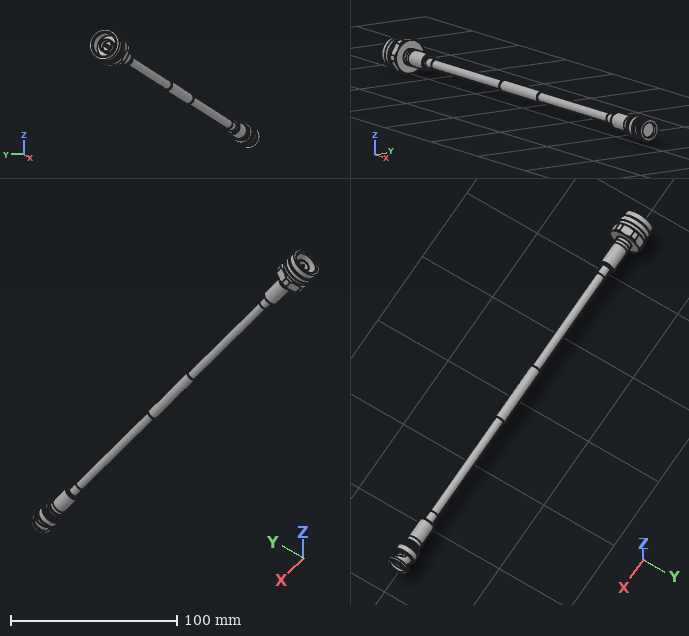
import cadquery as cq
import math

total_length = 272.08

cable_radius = 3.0
jacket_radius = 3.2
label_radius = 3.6
label_start = 116.8
label_end = 157.0
n_jacket_end = 43.8
bnc_jacket_start = 230.7
boot_radius = 5.1
boot_chamfer = 0.7
tail_radius = 4.8
tail_groove_radius = 4.3
n_tail_groove_end = 19.2
n_tail_end = 21.5
bnc_tail_start = 251.8
bnc_tail_groove_start = 254.4
bnc_tail_groove_end = 255.2
n_boot_end = 37.2
bnc_boot_start = 237.6
bnc_boot_end = 256.8

nut_radius = 9.6
nut_length = 10.3
nut_bore_radius = 7.2
nut_bore_depth = 8.6
nut_bore_chamfer = 0.8
grip_radius = 10.2
grip_start = 4.6
grip_end = 7.9
grip_lead_in = 0.7

hex_flats = 20.54
hex_corner_radius = 21.98 / 2
hex_lead_in = 1.0
hex_chamfer = 0.7
hex_start = nut_length
hex_end = 16.8
contact_radius = 3.9
contact_bore_radius = 3.5
contact_front = 3.0
contact_bore_depth = 8.0
n_pin_radius = 0.8
n_pin_front = 3.5

bnc_ring_radius = 6.5
bnc_ring_length = 0.8
bnc_shaft_radius = 4.8

collar_radius = 7.1
collar_end = 264.0
collar_chamfer = 0.4
collar_lip_length = 0.9
collar_groove_radius = 6.9
collar_groove_length = 0.8
barrel_radius = 5.6
flange_radius = 7.1
flange_start = 270.0
flange_chamfer = 0.5

slot_count = 2
slot_width = 2.3
slot_pitch = 9.0
slot_front = 267.8
slot_front_angle = -5.0
slot_sweep = 105.0


def turned(*profile):
    """A solid of revolution about X from (x, radius) points, closed along the last straight side."""
    return cq.Workplane("XZ").polyline(profile).close().revolve(360, (0, 0, 0), (1, 0, 0))


def rod(start, end, radius):
    return turned((start, 0), (start, radius), (end, radius), (end, 0))


def sleeve(start, end, radius, bore):
    return turned((start, bore), (start, radius), (end, radius), (end, bore))


cable = rod(n_tail_end, bnc_tail_start, cable_radius)
label = sleeve(label_start, label_end, label_radius, cable_radius)
n_jacket = sleeve(n_boot_end, n_jacket_end, jacket_radius, cable_radius)
bnc_jacket = sleeve(bnc_jacket_start, bnc_boot_start, jacket_radius, cable_radius)


def make_boot(connector_end, tail_end, cable_end):
    """Boot over a connector tail and the cable, chamfered at its cable end, either way along X."""
    chamfer_start = cable_end - math.copysign(boot_chamfer, cable_end - connector_end)
    return turned(
        (connector_end, tail_radius),
        (connector_end, boot_radius),
        (chamfer_start, boot_radius),
        (cable_end, boot_radius - boot_chamfer),
        (cable_end, cable_radius),
        (tail_end, cable_radius),
        (tail_end, tail_radius),
    )


n_boot = make_boot(hex_end, n_tail_end, n_boot_end)
bnc_boot = make_boot(bnc_boot_end, bnc_tail_start, bnc_boot_start)

n_nut = turned(
    (0, nut_bore_radius + nut_bore_chamfer),
    (0, nut_radius),
    (grip_start - grip_lead_in, nut_radius),
    (grip_start, grip_radius),
    (grip_end, grip_radius),
    (grip_end, nut_radius),
    (nut_length, nut_radius),
    (nut_length, nut_bore_radius),
    (nut_bore_chamfer, nut_bore_radius),
)


def make_n_body():
    hexagon = (
        cq.Workplane("YZ", origin=(hex_start, 0, 0))
        .polygon(6, hex_flats / math.cos(math.pi / 6))
        .extrude(hex_end - hex_start)
    )
    rounding = turned(
        (hex_start, 0),
        (hex_start, nut_radius),
        (hex_start + hex_lead_in, hex_corner_radius),
        (hex_end - hex_chamfer, hex_corner_radius),
        (hex_end, hex_flats / 2),
        (hex_end, 0),
    )
    core = rod(nut_bore_depth, hex_start, nut_bore_radius)
    tail_neck = rod(hex_end, n_tail_groove_end, tail_groove_radius)
    tail_rib = rod(n_tail_groove_end, n_tail_end, tail_radius)
    contact = rod(contact_front, nut_bore_depth, contact_radius)
    contact_bore = rod(contact_front, contact_bore_depth, contact_bore_radius)
    pin = rod(n_pin_front, nut_bore_depth, n_pin_radius)
    body = hexagon.intersect(rounding).union(core).union(tail_neck).union(tail_rib)
    return body.union(contact).cut(contact_bore).union(pin)


n_body = make_n_body()

collar_start = bnc_boot_end + bnc_ring_length
bnc_body = turned(
    (bnc_tail_start, 0),
    (bnc_tail_start, tail_radius),
    (bnc_tail_groove_start, tail_radius),
    (bnc_tail_groove_start, tail_groove_radius),
    (bnc_tail_groove_end, tail_groove_radius),
    (bnc_tail_groove_end, tail_radius),
    (bnc_boot_end, tail_radius),
    (bnc_boot_end, bnc_ring_radius),
    (collar_start, bnc_ring_radius),
    (collar_start, bnc_shaft_radius),
    (flange_start, bnc_shaft_radius),
    (flange_start, 0),
)


def make_bayonet_slot():
    """Cutter for one helical slot with round ends, winding up about Z from the +X side."""
    helix_length = slot_pitch * slot_sweep / 360
    helix = cq.Wire.makeHelix(slot_pitch, helix_length, barrel_radius)
    depth = 2 * (barrel_radius - bnc_shaft_radius)
    slot = (
        cq.Workplane("XZ", origin=(barrel_radius, 0, 0))
        .rect(depth, slot_width)
        .sweep(cq.Workplane(helix), isFrenet=True)
    )
    for share in (0, 1):
        hole = (
            cq.Workplane("YZ")
            .circle(slot_width / 2)
            .extrude(collar_radius)
            .rotate((0, 0, 0), (0, 0, 1), share * slot_sweep)
            .translate((0, 0, share * helix_length))
        )
        slot = slot.union(hole)
    return slot


def make_bnc_nut():
    groove_start = collar_start + collar_lip_length
    groove_end = groove_start + collar_groove_length
    nut = turned(
        (collar_start, bnc_shaft_radius),
        (collar_start, collar_radius),
        (groove_start, collar_radius),
        (groove_start, collar_groove_radius),
        (groove_end, collar_groove_radius),
        (groove_end, collar_radius - collar_chamfer),
        (groove_end + collar_chamfer, collar_radius),
        (collar_end - collar_chamfer, collar_radius),
        (collar_end, collar_radius - collar_chamfer),
        (collar_end, barrel_radius),
        (flange_start, barrel_radius),
        (flange_start, flange_radius),
        (total_length - flange_chamfer, flange_radius),
        (total_length, flange_radius - flange_chamfer),
        (total_length, bnc_shaft_radius),
    )
    slot = make_bayonet_slot().rotate((0, 0, 0), (0, 1, 0), -90)
    slot = slot.translate((slot_front, 0, 0))
    for i in range(slot_count):
        turn = 90 - slot_front_angle + i * 360 / slot_count
        nut = nut.cut(slot.rotate((0, 0, 0), (1, 0, 0), turn))
    return nut


bnc_nut = make_bnc_nut()

bodies = (cable, label, n_jacket, bnc_jacket, n_boot, bnc_boot, n_nut, n_body, bnc_body, bnc_nut)
result = cq.Compound.makeCompound([body.val() for body in bodies])